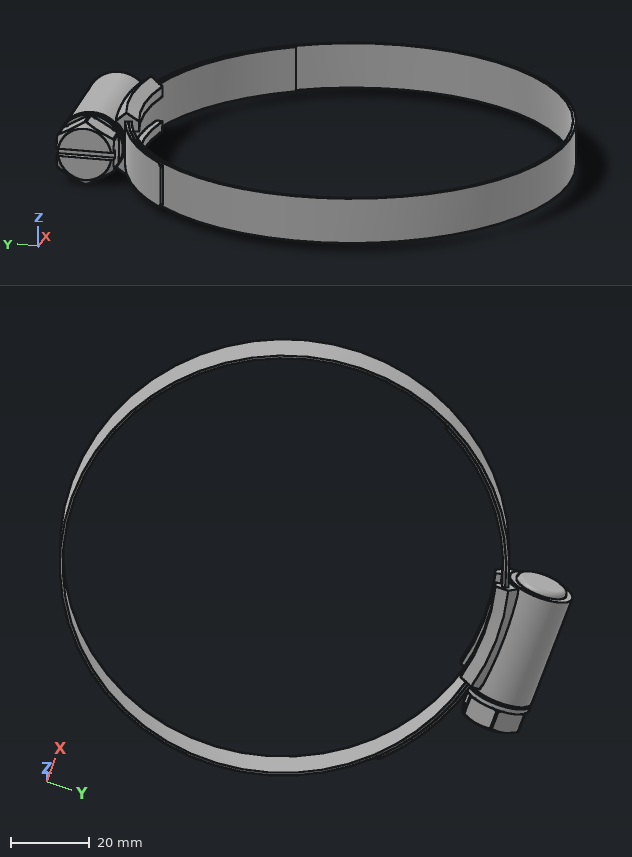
import cadquery as cq
import math

ring_radius = 113.8 / 2
band_width = 12.0
band_thickness = 0.8
lap_gap = 0.06
lap_step = band_thickness + lap_gap
inner_end_angle = 28
outer_end_angle = 136
end_chamfer = 1.0

barrel_radius = 17.0 / 2
barrel_start = -17.5
barrel_end = 14.8
overall_length = 129.5
axis_y = overall_length - ring_radius - barrel_radius
groove_start = -16.0
groove_width = 0.6
groove_depth = 0.8
groove_clearance = 1.3
saddle_half_angle = 14
saddle_top_radius = 59.8
saddle_top_half_width = 6.3
wing_crest_radius = 57.2
wing_half_width = 8.4
lip_radius = 54.0
lip_inner_half_width = 3.4
lip_outer_half_width = 6.1
lip_root_radius = 55.8
seat_radius = 56.8

head_start = -23.7
head_length = barrel_start - head_start
head_across_flats = 14.9
head_face_radius = 13.9 / 2
head_back_radius = 7.8
front_bevel = 0.9
back_bevel = 0.4
slot_width = 2.0
slot_depth = 2.0
shank_radius = 6.7
shank_end = 16.2
shank_end_round = 1.3


def polar(radius, angle):
    """Point at a radius and an angle in degrees about the ring axis."""
    return (radius * math.cos(math.radians(angle)), radius * math.sin(math.radians(angle)))


def strip(outer_start, outer_finish, start_angle, end_angle):
    """Curved strip whose outer radius changes evenly between its two ends."""
    middle_angle = (start_angle + end_angle) / 2
    outer_middle = (outer_start + outer_finish) / 2
    return (
        cq.Workplane("XY")
        .moveTo(*polar(outer_start, start_angle))
        .threePointArc(polar(outer_middle, middle_angle), polar(outer_finish, end_angle))
        .lineTo(*polar(outer_finish - band_thickness, end_angle))
        .threePointArc(
            polar(outer_middle - band_thickness, middle_angle),
            polar(outer_start - band_thickness, start_angle),
        )
        .close()
        .extrude(band_width / 2, both=True)
    )


def make_band():
    outer_layer = strip(ring_radius, ring_radius + lap_step, inner_end_angle, outer_end_angle)
    outer_layer = (
        outer_layer.faces(cq.selectors.NearestToPointSelector((*polar(ring_radius, outer_end_angle), 0)))
        .edges("#Z")
        .edges(">Z or <Z")
        .chamfer(end_chamfer)
    )
    inner_layer = strip(ring_radius - lap_step, ring_radius, inner_end_angle, outer_end_angle)
    single_layer = strip(ring_radius, ring_radius, outer_end_angle, inner_end_angle + 360)
    return single_layer.union(outer_layer).union(inner_layer)


def make_saddle():
    """Sector of revolution about the ring axis, with a lip under each band edge."""
    plane = cq.Workplane("XZ").transformed(rotate=(0, 90 - saddle_half_angle, 0))
    profile = (
        plane.moveTo(saddle_top_radius, -saddle_top_half_width)
        .lineTo(saddle_top_radius, saddle_top_half_width)
        .lineTo(wing_crest_radius, wing_half_width)
        .lineTo(lip_radius, lip_outer_half_width)
        .lineTo(lip_radius, lip_inner_half_width)
        .lineTo(lip_root_radius, lip_inner_half_width)
        .lineTo(lip_root_radius, band_width / 2)
        .lineTo(seat_radius, band_width / 2)
        .lineTo(seat_radius, -band_width / 2)
        .lineTo(lip_root_radius, -band_width / 2)
        .lineTo(lip_root_radius, -lip_inner_half_width)
        .lineTo(lip_radius, -lip_inner_half_width)
        .lineTo(lip_radius, -lip_outer_half_width)
        .lineTo(wing_crest_radius, -wing_half_width)
        .close()
    )
    return profile.revolve(2 * saddle_half_angle, (0, 0, 0), (0, 1, 0))


def cylinder_along_x(radius, start, end):
    """Cylinder on the screw axis."""
    return cq.Workplane("YZ", origin=(start, axis_y, 0)).circle(radius).extrude(end - start)


def make_barrel():
    groove_end = groove_start + groove_width
    groove = cylinder_along_x(barrel_radius + groove_clearance, groove_start, groove_end).cut(
        cylinder_along_x(barrel_radius - groove_depth, groove_start, groove_end)
    )
    seat = cq.Workplane("XY").circle(seat_radius).extrude(barrel_radius, both=True)
    return cylinder_along_x(barrel_radius, barrel_start, barrel_end).cut(groove).cut(seat)


def make_screw():
    corner_diameter = head_across_flats / math.cos(math.pi / 6)
    hexagon = (
        cq.Workplane("YZ", origin=(head_start, axis_y, 0))
        .transformed(rotate=(0, 0, 90))
        .polygon(6, corner_diameter)
        .extrude(head_length)
    )
    envelope = (
        cq.Workplane("XY", origin=(head_start, axis_y, 0))
        .polyline([
            (0, 0),
            (0, head_face_radius),
            (front_bevel, barrel_radius),
            (head_length - back_bevel, barrel_radius),
            (head_length, head_back_radius),
            (head_length, 0),
        ])
        .close()
        .revolve(360, (0, 0, 0), (1, 0, 0))
    )
    slot = cq.Workplane("XY", origin=(head_start + slot_depth / 2, axis_y, 0)).box(
        slot_depth, corner_diameter, slot_width
    )
    shank = cylinder_along_x(shank_radius, barrel_start, shank_end).faces(">X").edges().fillet(shank_end_round)
    return hexagon.intersect(envelope).cut(slot).union(shank)


screw = make_screw()

bore = cylinder_along_x(shank_radius, barrel_start, barrel_end)
clamp = make_barrel().union(make_saddle()).cut(bore).union(make_band()).cut(screw)

result = cq.Compound.makeCompound([clamp.solids().val(), screw.solids().val()])